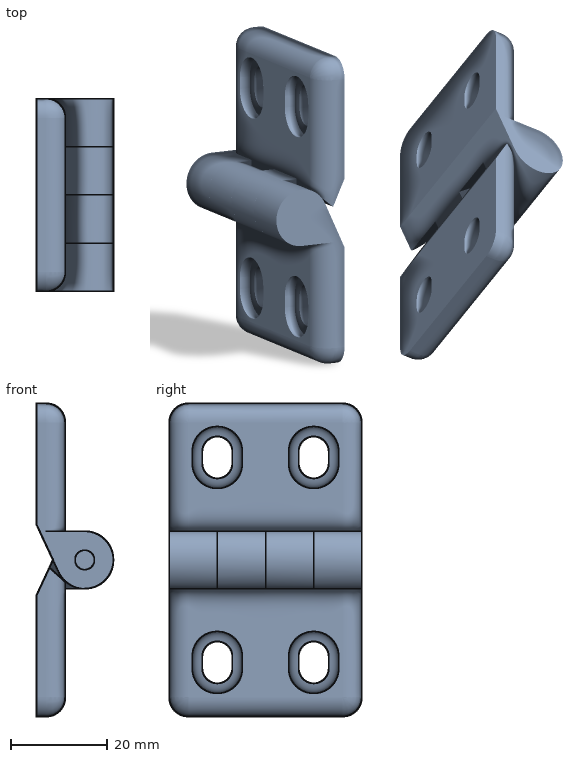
import cadquery as cq
import math

width = 40.0
height = 65.0
depth = 16.0
leaf_thickness = 6.0
corner_radius = 4.0
rim_radius = 3.95
rim_start = leaf_thickness - rim_radius

barrel_radius = 6.0
axis_x = depth - barrel_radius
pin_diameter = 4.0
knuckle_count = 4
knuckle_length = width / knuckle_count

v_tilt = math.radians(25)
v_apex_x = axis_x - barrel_radius / math.cos(v_tilt)
v_half_opening = v_apex_x / math.tan(v_tilt)
tangent_x = axis_x - barrel_radius * math.cos(v_tilt)
knuckle_back_x = v_apex_x - barrel_radius * math.tan(v_tilt)
tangent_z = -barrel_radius * math.sin(v_tilt)

relief_angle = math.radians(42)
relief_gap = 0.1
relief_slope = math.tan(relief_angle)
relief_axis_z = (barrel_radius + relief_gap) / math.cos(relief_angle)
relief_base_z = relief_axis_z - axis_x * relief_slope
relief_start_x = (v_half_opening - relief_base_z) / (relief_slope + 1 / math.tan(v_tilt))
relief_start_z = relief_base_z + relief_start_x * relief_slope
relief_end_z = relief_base_z + leaf_thickness * relief_slope

slot_width = 6.2
slot_length = 8.65
slot_spacing = width / 2
slot_z = 21.25
slot_depth = 3.65
recess_width = 10.4
recess_length = slot_length + recess_width - slot_width
recess_depth = leaf_thickness - slot_depth


def leaf_plate():
    """Upper leaf plate with sloped back, knuckle relief and rounded outer rim."""
    plate = (
        cq.Workplane("XZ", origin=(0, width / 2, 0))
        .moveTo(0, v_half_opening)
        .lineTo(relief_start_x, relief_start_z)
        .lineTo(leaf_thickness, relief_end_z)
        .lineTo(leaf_thickness, height / 2)
        .lineTo(0, height / 2)
        .close()
        .extrude(width)
    )
    plate = plate.edges("|X and >Z").fillet(corner_radius)
    inner_edge = plate.faces(">X").edges("<Z").vals()[0]
    rim = [edge for edge in plate.faces(">X").edges().vals() if not edge.isSame(inner_edge)]
    return plate.newObject(rim).fillet(rim_radius)


def knuckle(start_y):
    """Teardrop knuckle of the upper leaf, running from start_y toward +Y."""
    return (
        cq.Workplane("XZ", origin=(0, start_y + knuckle_length, 0))
        .moveTo(axis_x, barrel_radius)
        .threePointArc((axis_x, -barrel_radius), (tangent_x, tangent_z))
        .lineTo(knuckle_back_x, barrel_radius)
        .close()
        .extrude(knuckle_length)
    )


def mounting_slot(y):
    """Slot through the back followed by a wider slot-shaped counterbore."""
    narrow = (
        cq.Workplane("YZ", origin=(0, y, slot_z))
        .slot2D(slot_length, slot_width, 90)
        .extrude(slot_depth)
    )
    recess = (
        cq.Workplane("YZ", origin=(slot_depth, y, slot_z))
        .slot2D(recess_length, recess_width, 90)
        .extrude(recess_depth)
    )
    return narrow.union(recess)


def hinge_leaf():
    """Upper leaf with every second knuckle, starting at the -Y end."""
    leaf = leaf_plate()
    for index in range(0, knuckle_count, 2):
        leaf = leaf.union(knuckle(-width / 2 + index * knuckle_length))
    for side in (-1, 1):
        leaf = leaf.cut(mounting_slot(side * slot_spacing / 2))
    return leaf.cut(hinge_pin())


def hinge_pin():
    """Pin along the hinge axis, flush with both ends of the barrel."""
    return (
        cq.Workplane("XZ", origin=(axis_x, width / 2, 0))
        .circle(pin_diameter / 2)
        .extrude(width)
    )


upper_leaf = hinge_leaf()
lower_leaf = hinge_leaf().rotate((0, 0, 0), (1, 0, 0), 180)
pin = hinge_pin()

result = cq.Compound.makeCompound([upper_leaf.val(), lower_leaf.val(), pin.val()])